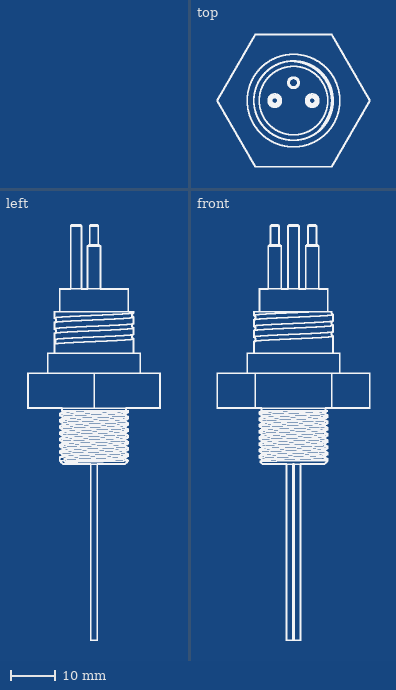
import cadquery as cq

wire_length = 39.9
stud_height = 12.7
hex_height = 7.9
flange_height = 4.5
collar_height = 9.4
cap_height = 5.2
overall_height = 94.2

stud_bottom = wire_length
hex_bottom = stud_bottom + stud_height
flange_bottom = hex_bottom + hex_height
collar_bottom = flange_bottom + flange_height
cap_bottom = collar_bottom + collar_height
cap_top = cap_bottom + cap_height
pin_length = overall_height - cap_top

hex_across_corners = 34.7
flange_diameter = 21.0
collar_diameter = 18.0
cap_diameter = 15.5

stud_diameter = 15.5
neck_diameter = 14.6
neck_height = 0.7
stud_chamfer = 0.8
stud_pitch = 1.4
stud_groove_depth = 0.8
stud_groove_mouth = 1.0
stud_groove_floor = 0.2
stud_start_angle = 120.0
groove_overlap = 0.3

collar_pitch = 2.45
collar_groove_depth = 0.4
collar_groove_mouth = 1.0
collar_groove_bottom = 2.5
collar_start_angle = 90.0

pin_offset = 4.2
pin_diameter = 3.0
pin_tip_diameter = 2.0
pin_shoulder_height = 10.0
centre_pin_offset = 4.05
centre_pin_diameter = 2.5
pin_edge_chamfer = 0.3
pin_shoulder_chamfer = 0.4

wire_diameter = 1.5
wire_spacing = 1.7


def cylinder(diameter, bottom, height, x=0.0, y=0.0):
    return cq.Workplane("XY", origin=(x, y, bottom)).circle(diameter / 2).extrude(height)


def thread_groove(section, diameter, pitch, height, bottom, start_angle):
    """Sweep a section up a right-handed helix that starts at the given angle."""
    path = cq.Workplane(obj=cq.Wire.makeHelix(pitch, height, diameter / 2))
    cutter = section.sweep(path, isFrenet=True)
    return cutter.rotate((0, 0, 0), (0, 0, 1), start_angle).translate((0, 0, bottom))


def stud_groove_section():
    """Narrow trapezoid whose flanks run on past the stud surface."""
    radius = stud_diameter / 2
    flank_slope = (stud_groove_mouth - stud_groove_floor) / (2 * stud_groove_depth)
    outer_half_width = stud_groove_mouth / 2 + flank_slope * groove_overlap
    return cq.Workplane("XZ").polyline([
        (radius - stud_groove_depth, -stud_groove_floor / 2),
        (radius + groove_overlap, -outer_half_width),
        (radius + groove_overlap, outer_half_width),
        (radius - stud_groove_depth, stud_groove_floor / 2),
    ]).close()


def collar_groove_section():
    """Circle that sinks into the collar by the groove depth."""
    half_mouth = collar_groove_mouth / 2
    section_radius = (half_mouth ** 2 + collar_groove_depth ** 2) / (2 * collar_groove_depth)
    section_centre = collar_diameter / 2 - collar_groove_depth + section_radius
    return cq.Workplane("XZ").center(section_centre, 0).circle(section_radius)


def threaded_stud():
    thread_height = stud_height - neck_height
    stud = cylinder(stud_diameter, stud_bottom, thread_height)
    stud = stud.faces("<Z").chamfer(stud_chamfer)
    groove = thread_groove(
        stud_groove_section(), stud_diameter, stud_pitch, thread_height,
        stud_bottom + stud_chamfer, stud_start_angle,
    )
    neck = cylinder(neck_diameter, hex_bottom - neck_height, neck_height)
    return stud.cut(groove).union(neck)


def threaded_collar():
    collar = cylinder(collar_diameter, collar_bottom, collar_height)
    groove_height = collar_height - collar_groove_bottom + collar_groove_mouth
    groove = thread_groove(
        collar_groove_section(), collar_diameter, collar_pitch, groove_height,
        collar_bottom + collar_groove_bottom, collar_start_angle,
    )
    return collar.cut(groove)


def stepped_pin(x):
    base = cylinder(pin_diameter, cap_top, pin_shoulder_height, x)
    base = base.faces(">Z").edges().chamfer(pin_shoulder_chamfer)
    tip = cylinder(pin_tip_diameter, cap_top, pin_length, x)
    tip = tip.faces(">Z").edges().chamfer(pin_edge_chamfer)
    return base.union(tip)


def centre_pin():
    pin = cylinder(centre_pin_diameter, cap_top, pin_length, y=centre_pin_offset)
    return pin.faces(">Z").edges().chamfer(pin_edge_chamfer)


hexagon = cq.Workplane("XY", origin=(0, 0, hex_bottom)).polygon(6, hex_across_corners).extrude(hex_height)

result = hexagon.union(threaded_stud())
result = result.union(cylinder(flange_diameter, flange_bottom, flange_height))
result = result.union(threaded_collar())
result = result.union(cylinder(cap_diameter, cap_bottom, cap_height))
result = result.union(centre_pin())
for side in (-1, 1):
    result = result.union(stepped_pin(side * pin_offset))
    result = result.union(cylinder(wire_diameter, 0, wire_length, side * wire_spacing / 2))